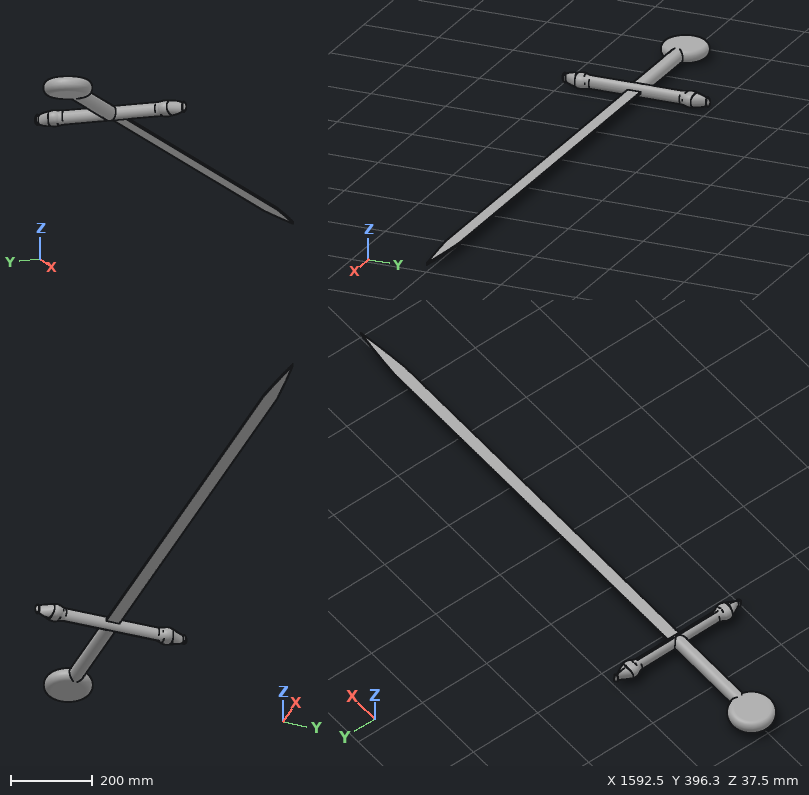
import cadquery as cq
import math

TOTAL_LENGTH = 1592.54
GUARD_SPAN = 396.26
THICKNESS = 37.5
EDGE_RADIUS = 17.5
HALF_THICKNESS = THICKNESS / 2
HALF_BAND = HALF_THICKNESS - EDGE_RADIUS

POMMEL_RADIUS = 60.0

GUARD_X = 290.4
GUARD_WIDTH = 27.0
GRIP_WIDTH = 37.5

FINIAL_END = GUARD_SPAN / 2
BARB_HALF_WIDTH = 8.0
BARB_DEPTH = 7.0
SPEAR_APEX_DEPTH = 4.0
SPEAR_HALF_WIDTH = 22.0
SPEAR_DEPTH = 43.0
SPEAR_BASE_HALF_WIDTH = 8.0
KNOB_RADIUS = 23.5
KNOB_DEPTH = 52.0
CUP_TOP_HALF_WIDTH = 8.0
CUP_TOP_DEPTH = 48.0
CUP_HALF_WIDTH = 20.0
CUP_DEPTH = 61.0
CUP_APEX_DEPTH = 111.0

BLADE_WIDTH = 35.0
BLADE_THICKNESS = 5.0
BLADE_TIP_X = TOTAL_LENGTH - POMMEL_RADIUS
POINT_LENGTH = 155.0
POINT_BULGE = 1.3

REACH = 500.0


def rounded_side(start, end):
    """Full-thickness body left of the line start-end, with both edges along the line rounded."""
    dx = end[0] - start[0]
    dy = end[1] - start[1]
    length = math.hypot(dx, dy)
    along = cq.Vector(dx / length, dy / length, 0)
    inward = cq.Vector(-along.y, along.x, 0)
    middle = cq.Vector((start[0] + end[0]) / 2, (start[1] + end[1]) / 2, 0)
    origin = middle - along * (REACH / 2)
    plane = cq.Plane(origin=origin, xDir=inward, normal=along)
    return (
        cq.Workplane(plane)
        .moveTo(REACH, -HALF_THICKNESS)
        .lineTo(EDGE_RADIUS, -HALF_THICKNESS)
        .radiusArc((0, -HALF_BAND), EDGE_RADIUS)
        .lineTo(0, HALF_BAND)
        .radiusArc((EDGE_RADIUS, HALF_THICKNESS), EDGE_RADIUS)
        .lineTo(REACH, HALF_THICKNESS)
        .close()
        .extrude(REACH)
    )


def rounded_plate(points):
    """Convex plate with rounded edges; points run anticlockwise."""
    plate = None
    for start, end in zip(points, points[1:] + points[:1]):
        side = rounded_side(start, end)
        plate = side if plate is None else plate.intersect(side)
    return plate


def rounded_disc(radius, x, y):
    """Disc with a rounded rim."""
    flat_radius = radius - EDGE_RADIUS
    return (
        cq.Workplane("XZ")
        .moveTo(0, -HALF_THICKNESS)
        .lineTo(flat_radius, -HALF_THICKNESS)
        .radiusArc((radius, -HALF_BAND), -EDGE_RADIUS)
        .lineTo(radius, HALF_BAND)
        .radiusArc((flat_radius, HALF_THICKNESS), -EDGE_RADIUS)
        .lineTo(0, HALF_THICKNESS)
        .close()
        .revolve(360, (0, 0), (0, 1))
        .translate((x, y, 0))
    )


def symmetric_plate(profile):
    """Rounded plate about the guard axis from (half width, depth) pairs, outermost first."""
    left = [(GUARD_X - half, FINIAL_END - depth) for half, depth in profile]
    right = [(GUARD_X + half, FINIAL_END - depth) for half, depth in reversed(profile) if half > 0]
    return rounded_plate(left + right)


def finial():
    """Barbed tip, spear head, round knob and cup at the +Y end of the guard."""
    tip = symmetric_plate([(0, 0), (BARB_HALF_WIDTH, BARB_DEPTH), (0, 2 * BARB_DEPTH)])
    spear = symmetric_plate(
        [
            (0, SPEAR_APEX_DEPTH),
            (SPEAR_HALF_WIDTH, SPEAR_DEPTH),
            (SPEAR_BASE_HALF_WIDTH, KNOB_DEPTH),
        ]
    )
    cup = symmetric_plate(
        [
            (CUP_TOP_HALF_WIDTH, CUP_TOP_DEPTH),
            (CUP_HALF_WIDTH, CUP_DEPTH),
            (0, CUP_APEX_DEPTH),
        ]
    )
    knob = rounded_disc(KNOB_RADIUS, GUARD_X, FINIAL_END - KNOB_DEPTH)
    return knob.union(cup).union(spear).union(tip)


def grip():
    """Rounded bar from the pommel centre to the middle of the guard."""
    half = GRIP_WIDTH / 2
    lower = rounded_side((0, -half), (GUARD_X, -half))
    upper = rounded_side((GUARD_X, half), (0, half))
    length_trim = cq.Workplane("XY").box(GUARD_X, REACH, THICKNESS).translate((GUARD_X / 2, 0, 0))
    return lower.intersect(upper).intersect(length_trim)


def guard_shaft():
    """Ridged bar across the sword, formed by two rounded sides meeting along its crest."""
    half_span = FINIAL_END - KNOB_DEPTH
    left_x = GUARD_X - GUARD_WIDTH / 2
    right_x = GUARD_X + GUARD_WIDTH / 2
    left = rounded_side((left_x, half_span), (left_x, -half_span))
    right = rounded_side((right_x, -half_span), (right_x, half_span))
    span_trim = cq.Workplane("XY").box(REACH, 2 * half_span, THICKNESS).translate((GUARD_X, 0, 0))
    return left.intersect(right).intersect(span_trim)


def blade():
    """Flat blade from the guard to its point, with gently curved point edges."""
    half = BLADE_WIDTH / 2
    shoulder_x = BLADE_TIP_X - POINT_LENGTH
    middle_x = BLADE_TIP_X - POINT_LENGTH / 2
    middle_y = half / 2 + POINT_BULGE
    return (
        cq.Workplane("XY")
        .moveTo(GUARD_X, -half)
        .lineTo(shoulder_x, -half)
        .threePointArc((middle_x, -middle_y), (BLADE_TIP_X, 0))
        .threePointArc((middle_x, middle_y), (shoulder_x, half))
        .lineTo(GUARD_X, half)
        .close()
        .extrude(BLADE_THICKNESS / 2, both=True)
    )


pommel = rounded_disc(POMMEL_RADIUS, 0, 0)
upper_finial = finial()
lower_finial = upper_finial.mirror("XZ")
guard = guard_shaft().union(upper_finial).union(lower_finial)
result = pommel.union(grip()).union(guard).union(blade())